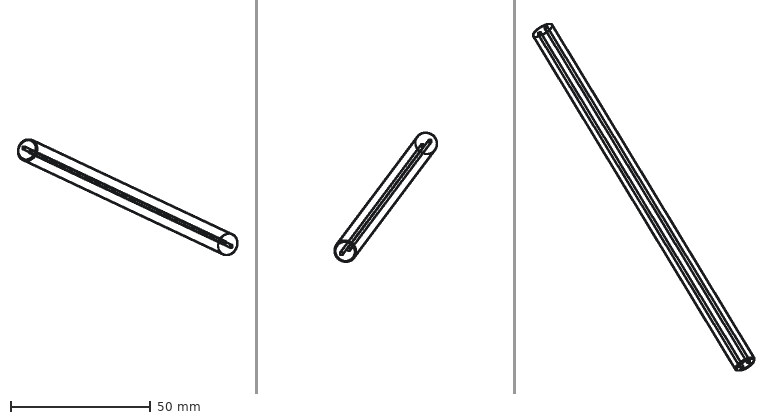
import cadquery as cq
import math

rod_length = 150.0
rod_diameter = 8.0
end_chamfer = 0.4

channel_diameter = 1.12
channel_spacing = 3.3
channel_angle = 33.0

start_face = cq.Workplane("YZ", origin=(-rod_length / 2, 0, 0))

rod = start_face.circle(rod_diameter / 2).extrude(rod_length)
rod = rod.faces("<X").chamfer(end_chamfer)

offset_y = -channel_spacing / 2 * math.cos(math.radians(channel_angle))
offset_z = channel_spacing / 2 * math.sin(math.radians(channel_angle))
channels = (
    start_face.pushPoints([(offset_y, offset_z), (-offset_y, -offset_z)])
    .circle(channel_diameter / 2)
    .extrude(rod_length)
)

result = rod.cut(channels)